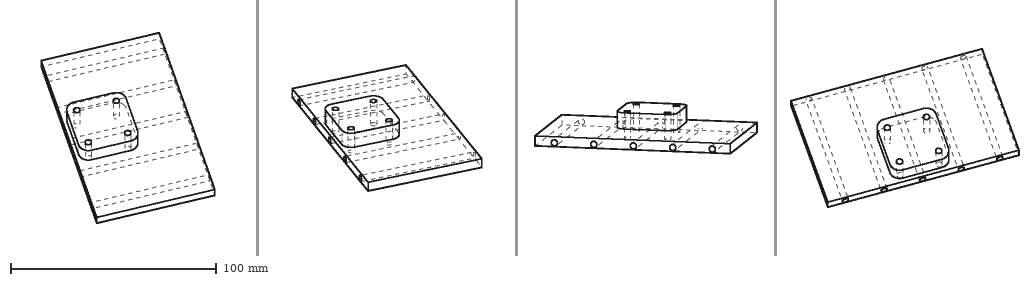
import cadquery as cq

plate_length = 97.7
plate_width = 60.0
plate_thickness = 5.0

total_height = 13.0
pad_side = 30.0
pad_corner_radius = 5.0
pad_front_margin = 2.0
pad_center_y = -plate_width / 2 + pad_front_margin + pad_side / 2

hole_diameter = 3.0
pad_hole_spacing = pad_side - 2 * pad_corner_radius

edge_hole_count = 5
edge_hole_spacing = 19.7
edge_row_center_x = -0.4
edge_hole_height = 2.0


def make_plate():
    return cq.Workplane("XY").box(plate_length, plate_width, plate_thickness, centered=(True, True, False))


def make_pad():
    return (
        cq.Workplane("XY")
        .center(0, pad_center_y)
        .rect(pad_side, pad_side)
        .extrude(total_height)
        .edges("|Z")
        .fillet(pad_corner_radius)
    )


def make_pad_holes():
    return (
        cq.Workplane("XY")
        .center(0, pad_center_y)
        .rarray(pad_hole_spacing, pad_hole_spacing, 2, 2)
        .circle(hole_diameter / 2)
        .extrude(total_height)
    )


def make_edge_holes():
    return (
        cq.Workplane("XZ", origin=(edge_row_center_x, plate_width / 2, edge_hole_height))
        .rarray(edge_hole_spacing, 1, edge_hole_count, 1)
        .circle(hole_diameter / 2)
        .extrude(plate_width)
    )


result = make_plate().union(make_pad()).cut(make_pad_holes()).cut(make_edge_holes())